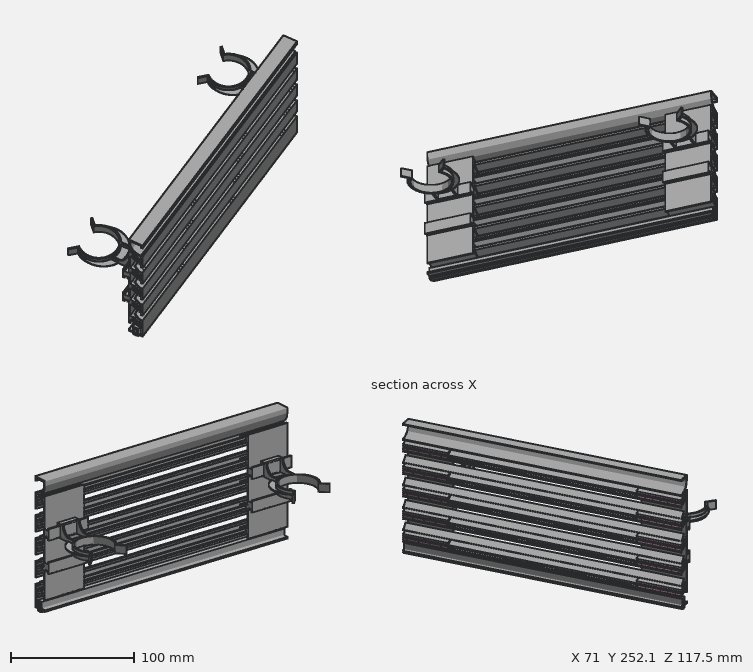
import cadquery as cq
import math


slat_length = 250.0
slat_count = 5
slat_pitch = 20.2
lowest_wall_top = 20.5
sheet = 1.5
slat_back = 13.0
wall_front = slat_back - sheet
wall_height = 14.0
panel_top = 115.5
top_wall_top = lowest_wall_top + (slat_count - 1) * slat_pitch

grip_x = 10.3
grip_z = 0.8
upper_jaw_radius = 4.5
tongue_top_radius = 6.3
tongue_bottom_radius = 8.3
lower_jaw_radius = 10.0
jaw_top_z = -0.8
jaw_bottom_z = -6.8
slot_front = 3.3
slot_top_z = -2.3
slot_bottom_z = -5.0
tongue_tip_top_z = -2.5
tongue_tip_x = 4.0
lip_front = 10.0
lip_height = 1.8

cap_radius = 10.5
cap_hook_drop = 3.8
cap_corner_radius = 0.8

louvre_thickness = 1.0
louvre_angle = 50
louvre_bend_x = 11.0
louvre_bend_radius = 2.5
louvre_tip_z = 3.8

channel_center_x = 6.5
channel_width = 5.3
channel_height = 7.5
channel_fillet = 1.0
cavity_width = channel_width - 2 * sheet
mouth_width = 3.5
mouth_height = 0.8

seal_height = 5.5
bulb_depth = 2.0
bulb_tip_width = 3.0
bulb_shoulder_depth = 1.5
bulb_wall = 0.5
hollow_top_width = 0.8
hollow_top_z = 0.5

plate_length = 40.3
plate_bottom = 10.3
plate_top = 101.8
plate_center_y = (slat_length - plate_length) / 2
rail_depth = 5.3
rail_height = 6.0
rail_fillet = 0.8
flange_top_overhang = 1.8
flange_bottom_overhang = 2.3
upper_rail_bottom = 66.8
rail_spacing = 29.5

clip_width = 18.1
clip_top = 76.5
clip_bottom = 64.0
clip_back = -2.3
web_front = -6.8
pocket_front = -5.8
arm_front = -9.0
arm_thickness = 1.5
arm_top = 67.5
arm_curve_start_x = -15.4
arm_curve_end_z = 74.3
arm_curve_mid = (-11.3, 70.3)
ring_x = -39.5
ring_inner_radius = 16.6
ring_outer_radius = 18.1
ring_height = 7.3
ring_opening_half_angle = 45
crescent_x = -35.3
crescent_radius = 21.2
crescent_thickness = 0.8
tab_reach = 18.5
tab_thickness = 1.5


def extrude_along_y(outline, length):
    """Extrude a closed XZ outline along Y, centred on Y = 0."""
    return outline.extrude(length / 2, both=True)


def box(x_min, x_max, z_min, z_max, length):
    """Block given by its X and Z limits, centred on Y = 0."""
    outline = cq.Workplane("XZ").polyline([(x_min, z_min), (x_max, z_min), (x_max, z_max), (x_min, z_max)])
    return extrude_along_y(outline.close(), length)


def arc_x(radius, z):
    """X of the front side of a grip curve at height z."""
    return grip_x - math.sqrt(radius**2 - (grip_z - z) ** 2)


def grip_band(outer_start, outer_radius, inner_start, inner_radius, front_points):
    """Outline between two concentric grip curves, from front_points to the slat wall.

    The outer curve is the lower one; each curve begins at its start height and ends level.
    """
    def arc_mid(radius, start_z):
        start_angle = math.asin((grip_z - start_z) / radius)
        angle = (start_angle + math.pi / 2) / 2
        return (grip_x - radius * math.cos(angle), grip_z - radius * math.sin(angle))

    outline = (
        cq.Workplane("XZ")
        .moveTo(arc_x(inner_radius, inner_start), inner_start)
        .threePointArc(arc_mid(inner_radius, inner_start), (grip_x, grip_z - inner_radius))
        .lineTo(wall_front, grip_z - inner_radius)
        .lineTo(wall_front, grip_z - outer_radius)
        .lineTo(grip_x, grip_z - outer_radius)
        .threePointArc(arc_mid(outer_radius, outer_start), (arc_x(outer_radius, outer_start), outer_start))
    )
    for x, z in front_points:
        outline = outline.lineTo(x, z)
    return outline.close()


def slat_core(wall_top):
    """Wall, plate-gripping tongue and retaining lip shared by all slats."""
    wall = box(wall_front, slat_back, -wall_height, 0, slat_length)
    tongue = extrude_along_y(
        grip_band(
            slot_bottom_z, tongue_bottom_radius, tongue_tip_top_z, tongue_top_radius,
            [(tongue_tip_x, slot_bottom_z), (tongue_tip_x, tongue_tip_top_z)],
        ),
        slat_length,
    )
    lip_top = grip_z - lower_jaw_radius
    lip = box(lip_front, wall_front, lip_top - lip_height, lip_top, slat_length)
    return wall.union(tongue).union(lip).translate((0, 0, wall_top))


def louvre(wall_top):
    """Sloping blade whose foot bends level and joins the top of the slat wall."""
    slope = math.radians(louvre_angle)
    outer_radius = louvre_bend_radius + louvre_thickness

    def bend_point(radius, angle):
        return (louvre_bend_x - radius * math.sin(angle), louvre_bend_radius - radius * math.cos(angle))

    blade_x, blade_z = bend_point(outer_radius, slope)
    tip_x = blade_x - (louvre_tip_z - blade_z) / math.tan(slope)
    tip_step_x = louvre_thickness * math.sin(slope)
    tip_step_z = louvre_thickness * math.cos(slope)
    outline = (
        cq.Workplane("XZ")
        .moveTo(slat_back, 0)
        .lineTo(louvre_bend_x, 0)
        .threePointArc(bend_point(louvre_bend_radius, slope / 2), bend_point(louvre_bend_radius, slope))
        .lineTo(tip_x + tip_step_x, louvre_tip_z + tip_step_z)
        .lineTo(tip_x, louvre_tip_z)
        .lineTo(blade_x, blade_z)
        .threePointArc(bend_point(outer_radius, slope / 2), bend_point(outer_radius, 0))
        .lineTo(slat_back, -louvre_thickness)
        .close()
    )
    return extrude_along_y(outline, slat_length).translate((0, 0, wall_top))


def top_cap():
    """Hooked top sheet that curves down and back into the wall of the top slat."""
    center_z = top_wall_top - sheet / 2 + cap_radius
    inner_radius = cap_radius - sheet
    diagonal = math.sqrt(0.5)
    outline = (
        cq.Workplane("XZ")
        .moveTo(slat_back, panel_top)
        .lineTo(cap_corner_radius, panel_top)
        .tangentArcPoint((0, panel_top - cap_corner_radius), relative=False)
        .lineTo(0, center_z)
        .threePointArc(
            (cap_radius - cap_radius * diagonal, center_z - cap_radius * diagonal),
            (cap_radius, center_z - cap_radius),
        )
        .lineTo(wall_front, center_z - cap_radius)
        .lineTo(wall_front, center_z - inner_radius)
        .lineTo(cap_radius, center_z - inner_radius)
        .threePointArc(
            (cap_radius - inner_radius * diagonal, center_z - inner_radius * diagonal),
            (sheet, center_z),
        )
        .lineTo(sheet, panel_top - sheet)
        .lineTo(wall_front, panel_top - sheet)
        .lineTo(wall_front, panel_top - cap_hook_drop)
        .lineTo(slat_back, panel_top - cap_hook_drop)
        .close()
    )
    return extrude_along_y(outline, slat_length)


def seal_channel_foot():
    """Wall extension, foot and raised channel under the lowest slat."""
    wall = box(wall_front, slat_back, 0, lowest_wall_top - wall_height, slat_length)
    foot = box(0, slat_back, 0, sheet, slat_length)
    left = channel_center_x - channel_width / 2
    right = channel_center_x + channel_width / 2
    channel_outline = (
        cq.Workplane("XZ")
        .moveTo(0, sheet)
        .lineTo(left - channel_fillet, sheet)
        .tangentArcPoint((left, sheet + channel_fillet), relative=False)
        .lineTo(left, channel_height)
        .lineTo(right, channel_height)
        .lineTo(right, sheet + channel_fillet)
        .tangentArcPoint((right + channel_fillet, sheet), relative=False)
        .close()
    )
    channel = extrude_along_y(channel_outline, slat_length)
    cavity = seal_stem(channel_height - sheet)
    return wall.union(foot).union(channel).cut(cavity)


def seal_stem(height):
    """Stem with a flared mouth, used for the seal and for the cavity that holds it."""
    outline = cq.Workplane("XZ").polyline([
        (channel_center_x - mouth_width / 2, 0),
        (channel_center_x + mouth_width / 2, 0),
        (channel_center_x + cavity_width / 2, mouth_height),
        (channel_center_x + cavity_width / 2, height),
        (channel_center_x - cavity_width / 2, height),
        (channel_center_x - cavity_width / 2, mouth_height),
    ])
    return extrude_along_y(outline.close(), slat_length)


def make_slat(index):
    """Slat number index, counted from the lowest."""
    wall_top = lowest_wall_top + index * slat_pitch
    slat = slat_core(wall_top)
    if index == slat_count - 1:
        slat = slat.union(top_cap())
    else:
        slat = slat.union(louvre(wall_top))
    if index == 0:
        slat = slat.union(seal_channel_foot())
    return slat


def make_seal():
    bulb_outline = cq.Workplane("XZ").polyline([
        (channel_center_x - channel_width / 2, 0),
        (channel_center_x - channel_width / 2, -bulb_shoulder_depth),
        (channel_center_x - bulb_tip_width / 2, -bulb_depth),
        (channel_center_x + bulb_tip_width / 2, -bulb_depth),
        (channel_center_x + channel_width / 2, -bulb_shoulder_depth),
        (channel_center_x + channel_width / 2, 0),
    ])
    bulb = extrude_along_y(bulb_outline.close(), slat_length)
    hollow_half_width = channel_width / 2 - bulb_wall
    hollow_floor = bulb_wall - bulb_depth
    hollow_outline = cq.Workplane("XZ").polyline([
        (channel_center_x - hollow_half_width, hollow_floor),
        (channel_center_x + hollow_half_width, hollow_floor),
        (channel_center_x + hollow_half_width, -bulb_wall),
        (channel_center_x + hollow_top_width / 2, hollow_top_z),
        (channel_center_x - hollow_top_width / 2, hollow_top_z),
        (channel_center_x - hollow_half_width, -bulb_wall),
    ])
    hollow = extrude_along_y(hollow_outline.close(), slat_length)
    return seal_stem(seal_height).union(bulb).cut(hollow)


def plate_fork(wall_top):
    """Forked arm whose two jaws hold the tongue of one slat."""
    arm = extrude_along_y(
        grip_band(
            jaw_bottom_z, lower_jaw_radius, jaw_top_z, upper_jaw_radius,
            [(0, jaw_bottom_z), (0, jaw_top_z)],
        ),
        plate_length,
    )
    slot = extrude_along_y(
        grip_band(
            slot_bottom_z, tongue_bottom_radius, slot_top_z, tongue_top_radius,
            [(slot_front, slot_bottom_z), (slot_front, slot_top_z)],
        ),
        plate_length,
    )
    return arm.cut(slot).translate((0, 0, wall_top))


def t_rail(stem_bottom):
    stem_top = stem_bottom + rail_height
    stem_outline = (
        cq.Workplane("XZ")
        .moveTo(-rail_depth, stem_top)
        .lineTo(-rail_fillet, stem_top)
        .tangentArcPoint((0, stem_top + rail_fillet), relative=False)
        .lineTo(0, stem_bottom - rail_fillet)
        .tangentArcPoint((-rail_fillet, stem_bottom), relative=False)
        .lineTo(-rail_depth, stem_bottom)
        .close()
    )
    stem = extrude_along_y(stem_outline, plate_length)
    flange = box(
        -rail_depth, sheet - rail_depth,
        stem_bottom - flange_bottom_overhang, stem_top + flange_top_overhang, plate_length,
    )
    return stem.union(flange)


def make_plate(center_y):
    plate = box(0, sheet, plate_bottom, plate_top, plate_length)
    for index in range(slat_count):
        plate = plate.union(plate_fork(lowest_wall_top + index * slat_pitch))
    for stem_bottom in (upper_rail_bottom, upper_rail_bottom - rail_spacing):
        plate = plate.union(t_rail(stem_bottom))
    return plate.translate((0, center_y, 0))


def cylinder(center_x, radius, z_min, height):
    return cq.Workplane("XY", origin=(center_x, 0, z_min)).circle(radius).extrude(height)


def clip_bracket():
    """Two side arms joined by a web, with a pocket that hooks round the upper rail."""
    outline = (
        cq.Workplane("XZ")
        .moveTo(ring_x, clip_bottom)
        .lineTo(clip_back, clip_bottom)
        .lineTo(clip_back, clip_top)
        .lineTo(arm_front, clip_top)
        .lineTo(arm_front, arm_curve_end_z)
        .threePointArc(arm_curve_mid, (arm_curve_start_x, arm_top))
        .lineTo(ring_x, arm_top)
        .close()
    )
    bracket = extrude_along_y(outline, clip_width)
    between_arms = box(ring_x, web_front, clip_bottom, clip_top, clip_width - 2 * arm_thickness)
    rail_top = upper_rail_bottom + rail_height
    flange_pocket = box(
        pocket_front, sheet - rail_depth,
        upper_rail_bottom - flange_bottom_overhang, rail_top + flange_top_overhang, clip_width,
    )
    stem_slot = box(pocket_front, 0, upper_rail_bottom, rail_top, clip_width)
    return bracket.cut(between_arms).cut(flange_pocket).cut(stem_slot)


def ring_tab(side):
    """Radial lead-in tab at one end of the ring; side is +1 or -1 along Y."""
    tab_end_radius = tab_reach / math.cos(math.radians(ring_opening_half_angle))
    tab_length = tab_end_radius - ring_inner_radius
    tab = (
        cq.Workplane("XY", origin=(-ring_inner_radius, 0, arm_top))
        .rect(-tab_length, side * tab_thickness)
        .extrude(-ring_height)
        .translate((-tab_length / 2, side * tab_thickness / 2, 0))
    )
    return tab.rotate((0, 0, 0), (0, 0, 1), -side * ring_opening_half_angle).translate((ring_x, 0, 0))


def make_clip(center_y):
    ring = cylinder(ring_x, ring_outer_radius, arm_top - ring_height, ring_height)
    crescent = cylinder(crescent_x, crescent_radius, clip_bottom, crescent_thickness)
    bore = cylinder(ring_x, ring_inner_radius, arm_top - ring_height, ring_height)
    opening_depth = 2 * ring_outer_radius
    opening_half_width = opening_depth * math.tan(math.radians(ring_opening_half_angle))
    opening = (
        cq.Workplane("XY", origin=(ring_x, 0, arm_top))
        .polyline([(0, 0), (-opening_depth, opening_half_width), (-opening_depth, -opening_half_width)])
        .close()
        .extrude(-ring_height)
    )
    clip = clip_bracket().union(ring).union(crescent).cut(bore).cut(opening)
    for side in (1, -1):
        clip = clip.union(ring_tab(side))
    return clip.translate((0, center_y, 0))


slats = [make_slat(index) for index in range(slat_count)]
plates = [make_plate(side * plate_center_y) for side in (-1, 1)]
clips = [make_clip(side * plate_center_y) for side in (-1, 1)]
seal = make_seal()

bodies = slats + plates + clips + [seal]
result = cq.Compound.makeCompound([body.val() for body in bodies])